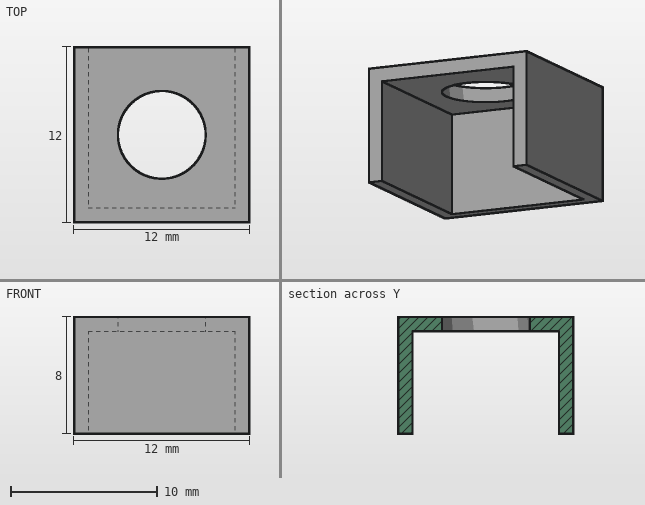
import cadquery as cq

side = 12.0
height = 8.0
hole_diameter = side / 2
wall_thickness = 1.0

cavity_width = side - 2 * wall_thickness
cavity_length = side - wall_thickness
cavity_height = height - wall_thickness

block = cq.Workplane("XY").box(side, side, height, centered=(True, True, False))

cavity = (
    cq.Workplane("XY")
    .box(cavity_width, cavity_length, cavity_height, centered=(True, True, False))
    .translate((0, wall_thickness / 2, 0))
)

hole = cq.Workplane("XY").circle(hole_diameter / 2).extrude(height)

result = block.cut(cavity).cut(hole)